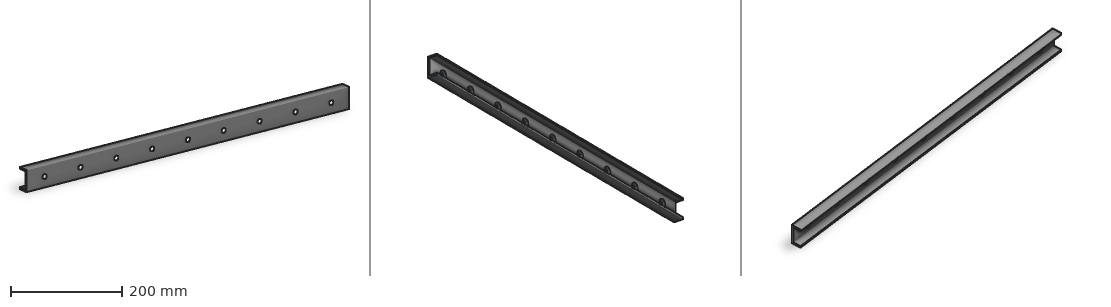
import cadquery as cq
import math

width = 21.0
length = 720.0
height = 43.0

web_thickness = 4.5
flange_thickness = 4.0
corner_radius = 1.0

hole_count = 9
hole_pitch = length / hole_count
hole_diameter = 9.0
countersink_diameter = 17.5
countersink_angle = 90.0

web_inner_x = width / 2 - web_thickness


def make_channel():
    """C-shaped rail along Y, open toward -X, with rounded outer and root corners."""
    rail = cq.Workplane("XY").box(width, length, height)
    rail = rail.edges("|Y").fillet(corner_radius)

    cavity_width = width
    cavity_height = height - 2 * flange_thickness
    cavity = cq.Workplane("XY").box(cavity_width, length, cavity_height)
    cavity = cavity.edges("|Y and >X").fillet(corner_radius)
    cavity = cavity.translate((web_inner_x - cavity_width / 2, 0, 0))
    return rail.cut(cavity)


def make_countersunk_hole():
    """Cutter for one hole: starts at x = 0 with the wide cone and runs toward +X."""
    wide_radius = countersink_diameter / 2
    hole_radius = hole_diameter / 2
    cone_depth = (wide_radius - hole_radius) / math.tan(math.radians(countersink_angle / 2))
    bore = cq.Workplane("YZ").circle(hole_radius).extrude(web_thickness)
    cone = cq.Solid.makeCone(
        wide_radius,
        hole_radius,
        cone_depth,
        cq.Vector(0, 0, 0),
        cq.Vector(1, 0, 0),
    )
    return bore.union(cq.Workplane(cone))


def drill_screw_holes(rail):
    """Countersink the web from inside the channel, one hole per pitch."""
    cutter = make_countersunk_hole()
    first_y = (hole_pitch - length) / 2
    for index in range(hole_count):
        hole_y = first_y + index * hole_pitch
        rail = rail.cut(cutter.translate((web_inner_x, hole_y, 0)))
    return rail


result = drill_screw_holes(make_channel())